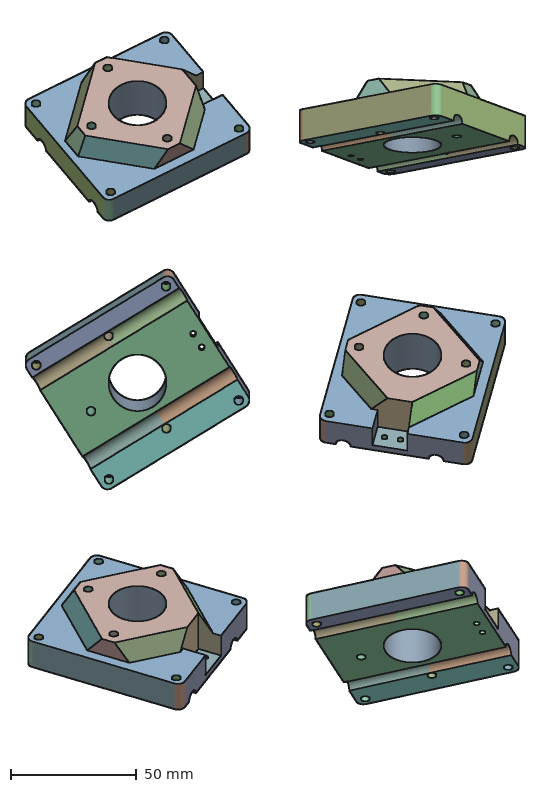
import cadquery as cq
import math

base_width = 62.0
base_length = 69.0
base_height = 13.0
corner_radius = 3.05
total_height = 21.0

boss_height = total_height - base_height
boss_face_angle = 30.0
boss_half_width = 26.8
boss_half_length = 31.25
boss_foot_end_half_width = 4.8
boss_foot_reach = boss_half_length + boss_foot_end_half_width

bore_diameter = 23.0
screw_diameter = 3.5
corner_hole_x = 27.4
corner_hole_y = 30.4
boss_hole_radius = 21.8

notch_left = -5.05
notch_right = 9.05
notch_front = 24.5
notch_floor = 3.0
notch_hole_diameter = 2.3
notch_hole_pitch = 6.5
notch_hole_y = 29.3
notch_center_x = (notch_left + notch_right) / 2

channel_diameter = 6.0
channel_positions = (-16.9, 21.0)


def box_between(x_min, x_max, y_min, y_max, z_min, z_max):
    size = (x_max - x_min, y_max - y_min, z_max - z_min)
    return cq.Workplane("XY").box(*size, centered=False).translate((x_min, y_min, z_min))


def make_base():
    plate = cq.Workplane("XY").box(base_width, base_length, base_height, centered=(True, True, False))
    return plate.edges("|Z").fillet(corner_radius)


def make_boss():
    foot = [
        (-boss_foot_end_half_width, -boss_half_length),
        (boss_foot_end_half_width, -boss_half_length),
        (boss_foot_reach, 0),
        (boss_foot_end_half_width, boss_half_length),
        (-boss_foot_end_half_width, boss_half_length),
        (-boss_foot_reach, 0),
    ]
    hull = (
        cq.Workplane("XY")
        .workplane(offset=base_height)
        .polyline(foot)
        .close()
        .extrude(boss_height, taper=boss_face_angle)
    )
    trim = box_between(
        -boss_half_width, boss_half_width, -boss_half_length, boss_half_length, base_height, total_height
    )
    return hull.intersect(trim)


def make_notch():
    back = base_length / 2
    pocket = box_between(notch_left, notch_right, notch_front, back, notch_floor, total_height)
    boss_clearance = box_between(notch_left, boss_half_width, notch_front, back, base_height, total_height)
    return pocket.union(boss_clearance)


def make_holes(diameter, points):
    return cq.Workplane("XY").pushPoints(points).circle(diameter / 2).extrude(total_height)


def make_channels():
    return (
        cq.Workplane("XZ")
        .pushPoints([(x, 0) for x in channel_positions])
        .circle(channel_diameter / 2)
        .extrude(base_length / 2, both=True)
    )


corner_holes = [(sx * corner_hole_x, sy * corner_hole_y) for sx in (-1, 1) for sy in (-1, 1)]
boss_holes = [
    (boss_hole_radius * math.cos(math.radians(angle)), boss_hole_radius * math.sin(math.radians(angle)))
    for angle in (180, 270, 360)
]
notch_holes = [(notch_center_x + side * notch_hole_pitch / 2, notch_hole_y) for side in (-1, 1)]

result = make_base().union(make_boss())
result = result.cut(make_notch())
result = result.cut(make_holes(bore_diameter, [(0, 0)]))
result = result.cut(make_holes(screw_diameter, corner_holes + boss_holes))
result = result.cut(make_holes(notch_hole_diameter, notch_holes))
result = result.cut(make_channels())